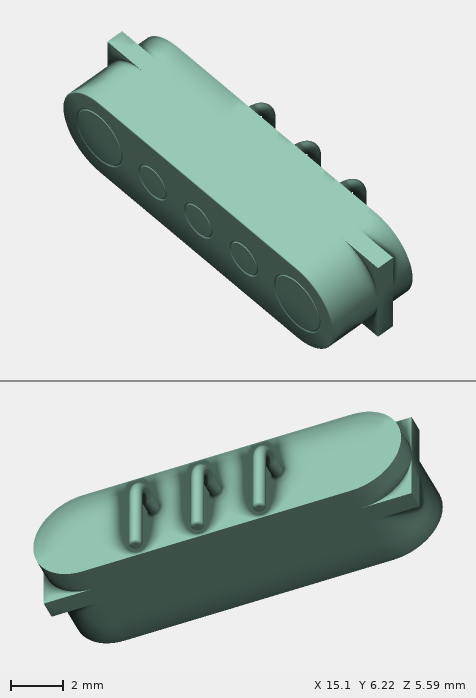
import cadquery as cq
import math


HOUSING_LENGTH = 15.113
HOUSING_HEIGHT = 4.064
HOUSING_DEPTH = 4.064
END_RADIUS = HOUSING_HEIGHT / 2
EDGE_FILLET = 0.0508

FLANGE_THICKNESS = 0.762
FLANGE_REAR_SETBACK = 1.016
FLANGE_REAR_Y = HOUSING_DEPTH - FLANGE_REAR_SETBACK
FLANGE_FRONT_Y = FLANGE_REAR_Y - FLANGE_THICKNESS

PLUG_CHAMFER = 0.0508

MAGNET_DIAMETER = 2.54
MAGNET_DEPTH = FLANGE_REAR_Y
MAGNET_X = HOUSING_LENGTH / 2 - END_RADIUS
MAGNET_POSITIONS = [-MAGNET_X, MAGNET_X]

PIN_COUNT = 3
PIN_PITCH = 2.54
PIN_POSITIONS = [(i - (PIN_COUNT - 1) / 2) * PIN_PITCH for i in range(PIN_COUNT)]
BARREL_DIAMETER = 1.524
TAIL_DIAMETER = 0.508
TAIL_RADIUS = TAIL_DIAMETER / 2
TAIL_STRAIGHT = 0.889
TAIL_BEND_RADIUS = 1.016
TAIL_PROTRUSION = 1.524
TAIL_ROOT_FILLET = 0.127
TAIL_TIP_FILLET = 0.127


def cylinder(x, start_y, diameter, length):
    """Round bar along +Y, centred on Z = 0."""
    plane = cq.Plane(origin=(x, start_y, 0), xDir=(1, 0, 0), normal=(0, 1, 0))
    return cq.Workplane(plane).circle(diameter / 2).extrude(length)


def face_plug(x, diameter, length):
    """Round bar starting on the mating face, with its front edge chamfered."""
    return cylinder(x, 0, diameter, length).faces("<Y").chamfer(PLUG_CHAMFER)


def make_housing():
    body = cq.Workplane("XZ").slot2D(HOUSING_LENGTH, HOUSING_HEIGHT).extrude(-HOUSING_DEPTH)
    flange = (
        cq.Workplane("XZ", origin=(0, FLANGE_FRONT_Y, 0))
        .rect(HOUSING_LENGTH, HOUSING_HEIGHT)
        .extrude(-FLANGE_THICKNESS)
    )
    body = body.union(flange)
    for x in MAGNET_POSITIONS:
        body = body.cut(cylinder(x, 0, MAGNET_DIAMETER, MAGNET_DEPTH))
    for x in PIN_POSITIONS:
        body = body.cut(cylinder(x, 0, BARREL_DIAMETER, HOUSING_DEPTH))
    return body.faces("<Y").edges().fillet(EDGE_FILLET)


def make_magnet(x):
    return face_plug(x, MAGNET_DIAMETER, MAGNET_DEPTH)


def make_tail(x):
    """Round wire that leaves the rear face, bends a quarter turn and runs down."""
    bend_start_y = HOUSING_DEPTH + TAIL_STRAIGHT
    drop_y = bend_start_y + TAIL_BEND_RADIUS
    tip_z = -HOUSING_HEIGHT / 2 - TAIL_PROTRUSION
    bend_offset = TAIL_BEND_RADIUS * math.sin(math.radians(45))
    bend_middle = (bend_start_y + bend_offset, bend_offset - TAIL_BEND_RADIUS)
    path = (
        cq.Workplane("YZ", origin=(x, 0, 0))
        .moveTo(HOUSING_DEPTH, 0)
        .lineTo(bend_start_y, 0)
        .threePointArc(bend_middle, (drop_y, -TAIL_BEND_RADIUS))
        .lineTo(drop_y, tip_z)
    )
    tail = cq.Workplane("XZ", origin=(x, HOUSING_DEPTH, 0)).circle(TAIL_RADIUS).sweep(path)
    return tail.faces("<Z").edges().fillet(TAIL_TIP_FILLET)


def make_root_flare(x):
    """Concave fillet ring where the tail leaves the barrel."""
    arc_centre = (TAIL_RADIUS + TAIL_ROOT_FILLET, HOUSING_DEPTH + TAIL_ROOT_FILLET)
    arc_offset = TAIL_ROOT_FILLET * math.sin(math.radians(45))
    arc_middle = (arc_centre[0] - arc_offset, arc_centre[1] - arc_offset)
    return (
        cq.Workplane("XY", origin=(x, 0, 0))
        .moveTo(0, HOUSING_DEPTH)
        .lineTo(arc_centre[0], HOUSING_DEPTH)
        .threePointArc(arc_middle, (TAIL_RADIUS, arc_centre[1]))
        .lineTo(0, arc_centre[1])
        .close()
        .revolve(360, (0, 0, 0), (0, 1, 0))
    )


def make_pin(x):
    barrel = face_plug(x, BARREL_DIAMETER, HOUSING_DEPTH)
    return barrel.union(make_root_flare(x)).union(make_tail(x))


housing = make_housing()
magnets = [make_magnet(x) for x in MAGNET_POSITIONS]
pins = [make_pin(x) for x in PIN_POSITIONS]

bodies = [housing, *magnets, *pins]
result = cq.Compound.makeCompound([body.solids().val() for body in bodies])